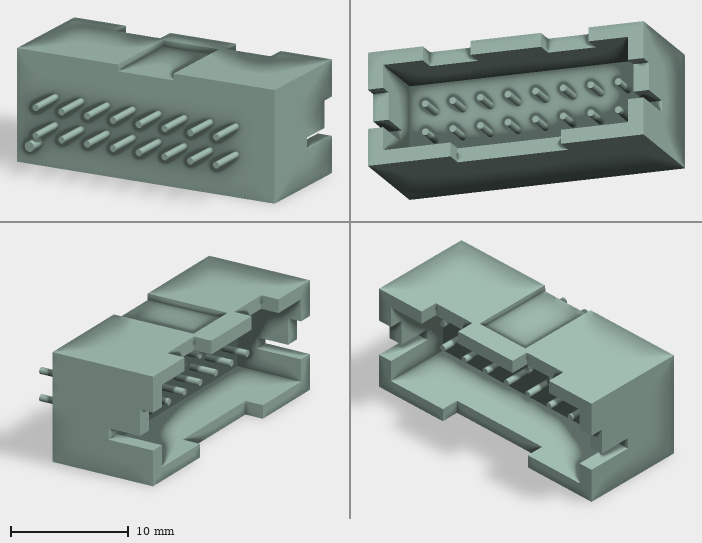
import cadquery as cq


body_width = 25.0
body_depth = 10.1
body_height = 10.1
side_wall = 1.25
end_wall = 1.4
cavity_depth = 6.4

pins_per_row = 8
pin_rows = 2
pin_pitch = 2.5
pin_diameter = 0.6
pin_tail = 3.5
pin_tip_setback = 3.9

peg_diameter = 0.9
peg_length = 1.5
peg_edge_offset = 2.04

end_notch_height = 3.5
end_notch_depth = 1.3
end_slot_height = 1.05
end_slot_depth = 4.45

mouth_notch_depth = 1.75
upper_tab_width = 6.4
upper_notch_width = 4.3
lower_notch_width = 10.0

recess_width = 5.4
recess_length = 8.0
recess_depth = 0.6

half_width = body_width / 2
half_height = body_height / 2


def block(x_range, y_range, z_range):
    """Box spanning the given (low, high) range along each axis."""
    size = [high - low for low, high in (x_range, y_range, z_range)]
    corner = (x_range[0], y_range[0], z_range[0])
    return cq.Workplane("XY").box(*size, centered=False).translate(corner)


def rod(x, z, diameter, y_range):
    """Round rod along Y at the given X and Z."""
    base = cq.Vector(x, y_range[0], z)
    length = y_range[1] - y_range[0]
    return cq.Workplane(cq.Solid.makeCylinder(diameter / 2, length, base, cq.Vector(0, 1, 0)))


def mouth_range(depth):
    """Y range of an opening cut down from the mouth."""
    return (body_depth - depth, body_depth)


def centred(size):
    return (-size / 2, size / 2)


def make_shell():
    shell = block(centred(body_width), (0, body_depth), centred(body_height))
    cavity = block(
        centred(body_width - 2 * end_wall),
        mouth_range(cavity_depth),
        centred(body_height - 2 * side_wall),
    )
    return shell.cut(cavity)


def cut_end_openings(body):
    """Wide shallow notch and narrow deep slot, both through the two end walls."""
    notch_z = centred(end_notch_height)
    slot_z = (notch_z[0], notch_z[0] + end_slot_height)
    notch = block(centred(body_width), mouth_range(end_notch_depth), notch_z)
    slot = block(centred(body_width), mouth_range(end_slot_depth), slot_z)
    return body.cut(notch).cut(slot)


def cut_side_openings(body):
    """Two notches beside a central tab above, one wide notch below."""
    notch_y = mouth_range(mouth_notch_depth)
    upper_z = (half_height - side_wall, half_height)
    lower_z = (-half_height, side_wall - half_height)
    inner_x = upper_tab_width / 2
    outer_x = inner_x + upper_notch_width
    for x_range in ((-outer_x, -inner_x), (inner_x, outer_x)):
        body = body.cut(block(x_range, notch_y, upper_z))
    return body.cut(block(centred(lower_notch_width), notch_y, lower_z))


def cut_recess(body):
    recess_z = (half_height - recess_depth, half_height)
    return body.cut(block(centred(recess_width), (0, recess_length), recess_z))


def add_pins(body):
    pin_y = (-pin_tail, body_depth - pin_tip_setback)
    for row in range(pin_rows):
        z = (row - (pin_rows - 1) / 2) * pin_pitch
        for column in range(pins_per_row):
            x = (column - (pins_per_row - 1) / 2) * pin_pitch
            body = body.union(rod(x, z, pin_diameter, pin_y))
    return body


def add_peg(body):
    root = (body_depth - cavity_depth) / 2
    x = peg_edge_offset - half_width
    z = peg_edge_offset - half_height
    return body.union(rod(x, z, peg_diameter, (-peg_length, root)))


body = make_shell()
body = cut_end_openings(body)
body = cut_side_openings(body)
body = cut_recess(body)
body = add_pins(body)
result = add_peg(body)